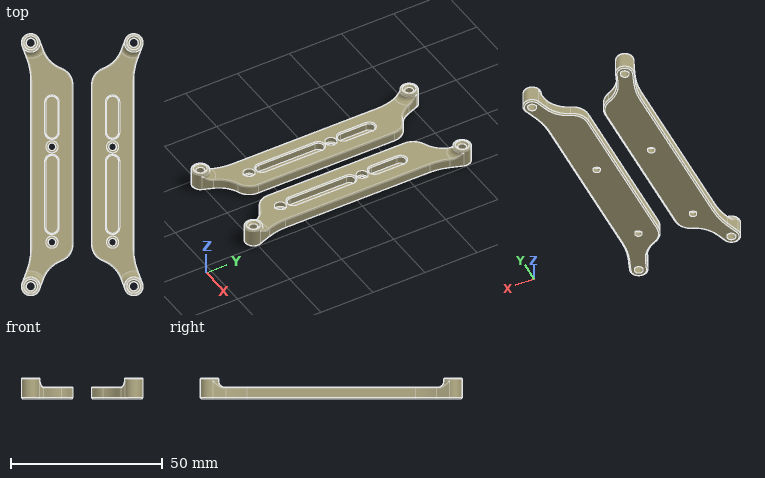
import cadquery as cq
import math

LENGTH = 86.4
WIDTH = 40.1
BOSS_DIAMETER = 6.1
BOSS_HEIGHT = 7.0
PLATE_THICKNESS = 4.0
CENTER_GAP = 6.05

ARM_LEAN = math.radians(20.5)
OUTER_BEND_RADIUS = 20.0
INNER_BEND_RADIUS = 10.0
SHOULDER_RADIUS = 6.0

FLARE_RADIUS = 2.0
TOP_ROUND = 0.35
BOSS_ROUND = 0.4
BOTTOM_CHAMFER = 0.5

BOSS_HOLE_DIAMETER = 2.9
BOSS_HOLE_CHAMFER = 0.8

SCREW_HOLE_DIAMETER = 2.4
COUNTERBORE_DIAMETER = 4.0
COUNTERBORE_DEPTH = 1.9
SCREW_HOLE_YS = (5.9, -25.6)

SLOT_WIDTH = 4.0
SLOT_DEPTH = 3.0
SLOT_CHAMFER = 0.4
SLOT_SPANS = ((8.7, 22.55), (-22.6, 3.0))

BOSS_RADIUS = BOSS_DIAMETER / 2
BOSS_X = BOSS_RADIUS - WIDTH / 2
BOSS_Y = LENGTH / 2 - BOSS_RADIUS
INNER_X = -CENTER_GAP / 2
OUTER_X = BOSS_X
SLOT_X = (OUTER_X + INNER_X) / 2


def on_circle(center, radius, angle):
    return (center[0] + radius * math.cos(angle), center[1] + radius * math.sin(angle))


def half_outline():
    """Closed outline of the +Y half: straight edges, leaning arm and round boss end."""
    boss = (BOSS_X, BOSS_Y)
    shoulder_turn = math.pi / 2 - ARM_LEAN

    boss_outer = on_circle(boss, BOSS_RADIUS, math.pi + ARM_LEAN)
    outer_bend_dx = OUTER_BEND_RADIUS * (1 - math.cos(ARM_LEAN))
    outer_run = (OUTER_X - outer_bend_dx - boss_outer[0]) / math.tan(ARM_LEAN)
    outer_center = (OUTER_X - OUTER_BEND_RADIUS,
                    boss_outer[1] - outer_run - OUTER_BEND_RADIUS * math.sin(ARM_LEAN))
    outer_bend = [on_circle(outer_center, OUTER_BEND_RADIUS, ARM_LEAN * part) for part in (0, 0.5, 1)]

    boss_inner = on_circle(boss, BOSS_RADIUS, ARM_LEAN)
    shoulder_dx = SHOULDER_RADIUS * (1 - math.cos(shoulder_turn))
    inner_bend_dx = INNER_BEND_RADIUS * (math.cos(ARM_LEAN) - math.cos(shoulder_turn))
    inner_run = (INNER_X - shoulder_dx - inner_bend_dx - boss_inner[0]) / math.tan(ARM_LEAN)
    bend_start = (INNER_X - shoulder_dx - inner_bend_dx, boss_inner[1] - inner_run)
    bend_center = on_circle(bend_start, INNER_BEND_RADIUS, ARM_LEAN)
    bend_middle = on_circle(bend_center, INNER_BEND_RADIUS, math.pi + math.pi / 4)
    bend_end = on_circle(bend_center, INNER_BEND_RADIUS, math.pi + shoulder_turn)
    shoulder_center = on_circle(bend_end, SHOULDER_RADIUS, math.pi + shoulder_turn)
    shoulder_middle = on_circle(shoulder_center, SHOULDER_RADIUS, shoulder_turn / 2)
    shoulder_end = on_circle(shoulder_center, SHOULDER_RADIUS, 0)

    return (
        cq.Workplane("XY")
        .moveTo(OUTER_X, 0)
        .lineTo(*outer_bend[0])
        .threePointArc(outer_bend[1], outer_bend[2])
        .lineTo(*boss_outer)
        .threePointArc((BOSS_X, LENGTH / 2), boss_inner)
        .lineTo(*bend_start)
        .threePointArc(bend_middle, bend_end)
        .threePointArc(shoulder_middle, shoulder_end)
        .lineTo(INNER_X, 0)
        .close()
    )


def space_above_plate():
    """Half-turn body to cut away above the plate, leaving the boss with a concave flare at its foot."""
    flare_end = BOSS_RADIUS + FLARE_RADIUS
    flare_top = PLATE_THICKNESS + FLARE_RADIUS
    bulge = FLARE_RADIUS * math.sqrt(0.5)
    return (
        cq.Workplane("XZ")
        .moveTo(BOSS_RADIUS, BOSS_HEIGHT)
        .lineTo(BOSS_RADIUS, flare_top)
        .threePointArc((flare_end - bulge, flare_top - bulge), (flare_end, PLATE_THICKNESS))
        .lineTo(LENGTH, PLATE_THICKNESS)
        .lineTo(LENGTH, BOSS_HEIGHT)
        .close()
        .revolve(180, (0, 0, 0), (0, -1, 0))
        .rotate((0, 0, 0), (0, 0, 1), math.degrees(ARM_LEAN))
        .translate((BOSS_X, BOSS_Y, 0))
    )


def bracket_body():
    """Plate with a raised boss at each end, edges finished, before holes and slots."""
    half = half_outline().extrude(BOSS_HEIGHT).cut(space_above_plate())
    for x in (OUTER_X, INNER_X):
        half = half.edges(cq.NearestToPointSelector((x, BOSS_Y / 3, PLATE_THICKNESS))).fillet(TOP_ROUND)
    half = half.faces(">Z").edges().fillet(BOSS_ROUND)
    body = half.union(half.mirror("XZ"))
    return body.faces("<Z").edges().chamfer(BOTTOM_CHAMFER)


def boss_hole(y):
    """Through hole in a boss, widened to a cone at the top."""
    radius = BOSS_HOLE_DIAMETER / 2
    return (
        cq.Workplane("XZ")
        .lineTo(radius, 0)
        .lineTo(radius, BOSS_HEIGHT - BOSS_HOLE_CHAMFER)
        .lineTo(radius + BOSS_HOLE_CHAMFER, BOSS_HEIGHT)
        .lineTo(0, BOSS_HEIGHT)
        .close()
        .revolve(360, (0, 0, 0), (0, 1, 0))
        .translate((BOSS_X, y, 0))
    )


def screw_hole(y):
    """Through hole in the plate with a flat counterbore at the top."""
    return (
        cq.Workplane("XY", origin=(SLOT_X, y, PLATE_THICKNESS))
        .circle(COUNTERBORE_DIAMETER / 2)
        .extrude(-COUNTERBORE_DEPTH)
        .circle(SCREW_HOLE_DIAMETER / 2)
        .extrude(-PLATE_THICKNESS)
    )


def slot(low_y, high_y):
    """Blind round-ended slot with a chamfered mouth."""
    def layer(z, width_gain):
        return (
            cq.Workplane("XY", origin=(SLOT_X, (low_y + high_y) / 2, z))
            .slot2D(high_y - low_y + width_gain, SLOT_WIDTH + width_gain, 90)
        )

    pocket = layer(PLATE_THICKNESS, 0).extrude(-SLOT_DEPTH)
    mouth = layer(PLATE_THICKNESS, 2 * SLOT_CHAMFER).extrude(-SLOT_CHAMFER, taper=45)
    return pocket.union(mouth)


def bracket():
    body = bracket_body()
    for y in (BOSS_Y, -BOSS_Y):
        body = body.cut(boss_hole(y))
    for y in SCREW_HOLE_YS:
        body = body.cut(screw_hole(y))
    for low_y, high_y in SLOT_SPANS:
        body = body.cut(slot(low_y, high_y))
    return body


left_bracket = bracket()
right_bracket = left_bracket.mirror("YZ")

result = cq.Compound.makeCompound([left_bracket.val(), right_bracket.val()])